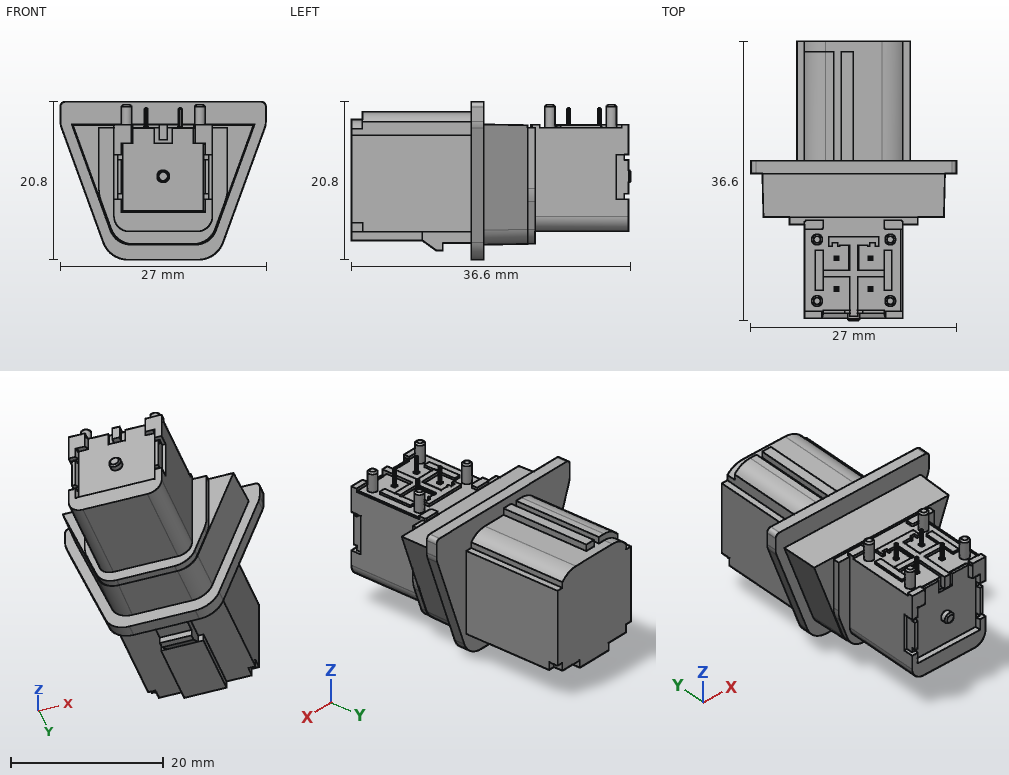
import math

import cadquery as cq


LENGTH = 36.65
SIDE_TANGENT = math.tan(math.radians(70))

FLANGE_WIDTH = 27.0
FLANGE_HEIGHT = 20.75
FLANGE_THICK = 1.7
FLANGE_SHOULDER = 17.75
FLANGE_TOP_RADIUS = 0.65
FLANGE_SHOULDER_RADIUS = 2.55
FLANGE_BOTTOM_RADIUS = 3.52

SHROUD_LENGTH = 5.72
SHROUD_TOP = 17.78
SHROUD_BOTTOM = 1.98
SHROUD_HALF_WIDTH = 12.0
SHROUD_RADIUS = 2.97
SHROUD_TAPER = 1.0

COLLAR_LENGTH = 1.0
COLLAR_HALF_WIDTH = 8.45
COLLAR_BOTTOM = 2.1
COLLAR_INSET = 0.2
COLLAR_SHOULDER_RADIUS = 5.15

DECK = 17.35
RAISED = 17.75
BLOCK_HALF_WIDTH = 6.45
BLOCK_BOTTOM = 3.75
BLOCK_RADIUS = 1.98
BLOCK_FRONT = 19.0

RECESS_DEPTH = 0.65
RECESS_TAPER = 18.0
RECESS_HALF_WIDTH = 5.5
RECESS_NECK_HALF_WIDTH = 4.18
RECESS_SHOULDER = 15.32
RECESS_BOTTOM = 6.25
NOTCH_HALF_WIDTH = 1.17
NOTCH_DEPTH = 0.4

LATCH_BOTTOM = 7.95
LATCH_TOP = 13.82
LATCH_LENGTH = 1.6
LATCH_SKIN = 0.48
LATCH_GAP_HEIGHT = 0.7
LATCH_GAP_DEPTH = 0.6

PAD_START = 6.15
PAD_LENGTH = 1.17
PAD_INNER = 4.0
PAD_CHAMFER = 0.2
PAD_RADIUS = 0.3
DECK_STEP = 0.09
EDGE_STRIP_WIDTH = 0.25
EAR_LENGTH = 0.9
BAR_WIDTH = 1.03
BAR_START = 10.05
BAR_END = 15.32
BAR_TOP = 17.67
CROSS_START = 12.7
CROSS_END = 13.55
RIB_HALF_WIDTH = 0.5
RIB_FRONT = 18.7
RIB_TAB_BOTTOM = 15.75
RIB_LEDGE_WIDTH = 0.15
RIB_LEDGE_TOP = 17.55
CROWN_HALF_WIDTH = 3.25
CROWN_START = 8.3
CROWN_END = 9.55
CROWN_STEP = 0.2
CROWN_STEP_X = 1.85
CROWN_NOTCH_X = 2.45
CROWN_NOTCH_WIDTH = 0.75
CROWN_NOTCH_DEPTH = 0.5

POST_DIAMETER = 1.4
POST_X = 4.8
POST_Y = (8.65, 16.7)
POST_TOP = 20.35
POST_CHAMFER = 0.25
CONTACT_WIDTH = 0.48
CONTACT_CORNER = 0.13
CONTACT_X = 2.25
CONTACT_Y = (11.1, 15.15)
CONTACT_TOP = 19.95
CONTACT_TIP_CHAMFER = 0.2
CONTACT_FOOT_WIDTH = 0.6
CONTACT_FOOT_HEIGHT = 0.15
STUD_DIAMETER = 1.6
STUD_Z = 10.95
STUD_CHAMFER = 0.22
STUD_TIP = 19.3

PLUG_END = LENGTH - STUD_TIP
PLUG_HALF_WIDTH = 7.45
PLUG_BOTTOM = 3.65
PLUG_LEDGE = 16.35
UPPER_HALF_WIDTH = 6.45
UPPER_TOP = 18.45
UPPER_EDGE = 17.23
UPPER_FLAT_HALF_WIDTH = 3.7
RIDGE_TOP = 19.43
RIDGE_EDGE = 18.1
RIDGE_INNER = -2.6
KEY_RIB_X = (-1.6, -0.07)
RIDGE_SETBACK = 1.43
CORNER_NOTCH = (1.0, 1.45, 1.2)

KEY_WIDTH = 5.85
HOOK_WIDTH = 4.4
KEY_BOTTOM = 2.53
KEY_ROOT_BOTTOM = 2.2
HOOK_BOTTOM = 1.2
HOOK_FRONT_Y = 5.4
HOOK_TIP_Y = 6.25
HOOK_REAR_Y = 8.05


def box(x_range, y_range, z_range):
    """Box between two corners, given as the limits along each axis."""
    spans = (x_range, y_range, z_range)
    sizes = [high - low for low, high in spans]
    corner = tuple(low for low, high in spans)
    return cq.Workplane("XY").box(*sizes, centered=False).translate(corner)


def front_box(x_range, start, end, z_range):
    """Box on the board end, with start and end as distances from the flange face."""
    return box(x_range, (-end, -start), z_range)


def both_sides(solid):
    """A solid together with its mirror image across X = 0."""
    return solid.union(solid.mirror("YZ"))


def symmetric_outline(half_points, plane_y):
    """Closed XZ outline from its +X points, ordered from top to bottom."""
    mirrored_points = [(-x, z) for x, z in reversed(half_points)]
    plane = cq.Workplane("XZ", origin=(0, plane_y, 0))
    return plane.polyline(half_points + mirrored_points).close()


def sloped_in(half_width, drop):
    """Half width left after going down the sloped side by the given drop."""
    return half_width - drop / SIDE_TANGENT


def level(z, tolerance=0.3):
    """Selector for edges whose middle is close to height z."""
    low_corner = (-LENGTH, -LENGTH, z - tolerance)
    high_corner = (LENGTH, LENGTH, z + tolerance)
    return cq.selectors.BoxSelector(low_corner, high_corner)


def make_flange():
    half = FLANGE_WIDTH / 2
    points = [
        (half, FLANGE_HEIGHT),
        (half, FLANGE_SHOULDER),
        (sloped_in(half, FLANGE_SHOULDER), 0),
    ]
    flange = symmetric_outline(points, FLANGE_THICK).extrude(FLANGE_THICK)
    flange = flange.edges("|Y").edges(level(FLANGE_HEIGHT)).fillet(FLANGE_TOP_RADIUS)
    flange = flange.edges("|Y").edges(level(FLANGE_SHOULDER)).fillet(FLANGE_SHOULDER_RADIUS)
    return flange.edges("|Y").edges(level(0)).fillet(FLANGE_BOTTOM_RADIUS)


def make_shroud():
    points = [
        (SHROUD_HALF_WIDTH, SHROUD_TOP),
        (sloped_in(SHROUD_HALF_WIDTH, SHROUD_TOP - SHROUD_BOTTOM), SHROUD_BOTTOM),
    ]
    shroud = symmetric_outline(points, 0).extrude(SHROUD_LENGTH, taper=SHROUD_TAPER)
    lower_edges = shroud.edges("not(#Y)").edges("not(|X)").edges(level(SHROUD_BOTTOM))
    return lower_edges.fillet(SHROUD_RADIUS)


def make_collar():
    side_width = SHROUD_HALF_WIDTH - COLLAR_INSET
    shoulder = SHROUD_TOP - (side_width - COLLAR_HALF_WIDTH) * SIDE_TANGENT
    points = [
        (COLLAR_HALF_WIDTH, DECK),
        (COLLAR_HALF_WIDTH, shoulder),
        (sloped_in(side_width, SHROUD_TOP - COLLAR_BOTTOM), COLLAR_BOTTOM),
    ]
    collar = symmetric_outline(points, -SHROUD_LENGTH).extrude(COLLAR_LENGTH)
    collar = collar.edges("|Y").edges(level(shoulder)).fillet(COLLAR_SHOULDER_RADIUS)
    return collar.edges("|Y").edges(level(COLLAR_BOTTOM)).fillet(SHROUD_RADIUS)


def make_block():
    width = (-BLOCK_HALF_WIDTH, BLOCK_HALF_WIDTH)
    block = front_box(width, SHROUD_LENGTH, BLOCK_FRONT, (BLOCK_BOTTOM, DECK))
    block = block.edges("|Y and <Z").fillet(BLOCK_RADIUS)
    ear = front_box(
        (RECESS_NECK_HALF_WIDTH, BLOCK_HALF_WIDTH), BLOCK_FRONT - EAR_LENGTH, BLOCK_FRONT, (DECK, RAISED)
    )
    return block.union(both_sides(ear))


def make_front_recess():
    above = RAISED + RECESS_DEPTH
    points = [
        (RECESS_NECK_HALF_WIDTH, above),
        (RECESS_NECK_HALF_WIDTH, RECESS_SHOULDER),
        (RECESS_HALF_WIDTH, RECESS_SHOULDER),
        (RECESS_HALF_WIDTH, RECESS_BOTTOM),
    ]
    recess = symmetric_outline(points, -BLOCK_FRONT).extrude(-RECESS_DEPTH, taper=RECESS_TAPER)
    floor = BLOCK_FRONT - RECESS_DEPTH
    inner_half = RECESS_HALF_WIDTH - RECESS_DEPTH * math.tan(math.radians(RECESS_TAPER))
    level_shoulder = front_box((-inner_half, inner_half), floor, BLOCK_FRONT, (STUD_Z, RECESS_SHOULDER))
    notch_width = (-NOTCH_HALF_WIDTH, NOTCH_HALF_WIDTH)
    notch = front_box(notch_width, floor - NOTCH_DEPTH, floor, (RECESS_SHOULDER, RAISED))
    return recess.union(level_shoulder).union(notch)


def make_deck_strips():
    """Shallow steps along the front edge and the +X edge of the deck."""
    height = (DECK - DECK_STEP, DECK)
    recess_floor = BLOCK_FRONT - RECESS_DEPTH
    front = front_box((-PAD_INNER, PAD_INNER), recess_floor - NOTCH_DEPTH, recess_floor, height)
    edge_width = (BLOCK_HALF_WIDTH - EDGE_STRIP_WIDTH, BLOCK_HALF_WIDTH)
    edge = front_box(edge_width, PAD_START + PAD_LENGTH, BLOCK_FRONT - EAR_LENGTH, height)
    return front.union(edge)


def make_latch_cuts():
    outer = BLOCK_HALF_WIDTH
    skin = front_box(
        (outer - LATCH_SKIN, outer), BLOCK_FRONT - LATCH_LENGTH, BLOCK_FRONT, (LATCH_BOTTOM, LATCH_TOP)
    )
    cuts = skin
    for bottom in (LATCH_BOTTOM, LATCH_TOP - LATCH_GAP_HEIGHT):
        cuts = cuts.union(
            front_box(
                (RECESS_HALF_WIDTH - LATCH_SKIN, outer),
                BLOCK_FRONT - LATCH_GAP_DEPTH,
                BLOCK_FRONT,
                (bottom, bottom + LATCH_GAP_HEIGHT),
            )
        )
    return both_sides(cuts)


def make_deck_details():
    height = (DECK, RAISED)
    pad = front_box((PAD_INNER, BLOCK_HALF_WIDTH), PAD_START, PAD_START + PAD_LENGTH, height)
    pad = pad.edges("|Z and >X and >Y").chamfer(PAD_CHAMFER)
    pad = pad.edges("|Z and <X and <Y").fillet(PAD_RADIUS)
    bar = front_box((PAD_INNER, PAD_INNER + BAR_WIDTH), BAR_START, BAR_END, (DECK, BAR_TOP))
    cross = front_box((0, PAD_INNER), CROSS_START, CROSS_END, height)

    crown = front_box((0, CROWN_HALF_WIDTH), CROWN_START, CROWN_END, height)
    crown_step = front_box((0, CROWN_STEP_X), CROWN_END - CROWN_STEP, CROWN_END, height)
    notch_x = (CROWN_NOTCH_X - CROWN_NOTCH_WIDTH / 2, CROWN_NOTCH_X + CROWN_NOTCH_WIDTH / 2)
    crown_notch = front_box(notch_x, CROWN_END - CROWN_NOTCH_DEPTH, CROWN_END, height)
    crown = crown.cut(crown_step).cut(crown_notch)

    ledge_width = (0, RIB_HALF_WIDTH + RIB_LEDGE_WIDTH)
    rib_ledge = front_box(ledge_width, CROWN_END, CROSS_START, (DECK, RIB_LEDGE_TOP))

    details = both_sides(pad.union(bar).union(cross).union(crown).union(rib_ledge))
    rib_width = (-RIB_HALF_WIDTH, RIB_HALF_WIDTH)
    rib = front_box(rib_width, CROWN_START, RIB_FRONT, height)
    tab_root = BLOCK_FRONT - RECESS_DEPTH - NOTCH_DEPTH
    tab = front_box(rib_width, tab_root, RIB_FRONT, (RIB_TAB_BOTTOM, RAISED))
    return details.union(rib).union(tab)


def four_places(x, distances):
    """Four points on the deck, mirrored across X = 0."""
    return [(side * x, -distance) for side in (-1, 1) for distance in distances]


def make_posts():
    posts = cq.Workplane("XY", origin=(0, 0, RECESS_SHOULDER)).pushPoints(four_places(POST_X, POST_Y))
    posts = posts.circle(POST_DIAMETER / 2).extrude(POST_TOP - RECESS_SHOULDER)
    return posts.faces(">Z").edges().chamfer(POST_CHAMFER)


def make_contacts():
    places = cq.Workplane("XY", origin=(0, 0, DECK)).pushPoints(four_places(CONTACT_X, CONTACT_Y))
    contacts = places.rect(CONTACT_WIDTH, CONTACT_WIDTH).extrude(CONTACT_TOP - DECK)
    contacts = contacts.edges("|Z").chamfer(CONTACT_CORNER)
    contacts = contacts.faces(">Z").edges().chamfer(CONTACT_TIP_CHAMFER)
    feet = places.rect(CONTACT_FOOT_WIDTH, CONTACT_FOOT_WIDTH).extrude(CONTACT_FOOT_HEIGHT)
    return contacts.union(feet)


def make_stud():
    root = BLOCK_FRONT - RECESS_DEPTH - NOTCH_DEPTH
    stud = cq.Workplane("XZ", origin=(0, -root, STUD_Z)).circle(STUD_DIAMETER / 2)
    return stud.extrude(STUD_TIP - root).faces("<Y").edges().chamfer(STUD_CHAMFER)


def tangent_arc_middle(edge, flat):
    """Middle of the arc that leaves the flat top tangentially and ends at the edge."""
    run = edge[0] - flat[0]
    drop = flat[1] - edge[1]
    radius = (run ** 2 + drop ** 2) / (2 * drop)
    half_angle = math.asin(abs(run) / radius) / 2
    return (
        flat[0] + math.copysign(radius * math.sin(half_angle), run),
        flat[1] - radius * (1 - math.cos(half_angle)),
    )


def make_plug():
    lower = box((-PLUG_HALF_WIDTH, PLUG_HALF_WIDTH), (0, PLUG_END), (PLUG_BOTTOM, PLUG_LEDGE))
    notch_x, notch_y, notch_z = CORNER_NOTCH
    notch = box(
        (PLUG_HALF_WIDTH - notch_x, PLUG_HALF_WIDTH),
        (PLUG_END - notch_y, PLUG_END),
        (PLUG_BOTTOM, PLUG_BOTTOM + notch_z),
    )
    lower = lower.cut(both_sides(notch))

    left_edge = (-UPPER_HALF_WIDTH, UPPER_EDGE)
    left_flat = (-UPPER_FLAT_HALF_WIDTH, UPPER_TOP)
    right_edge = (UPPER_HALF_WIDTH, UPPER_EDGE)
    right_flat = (UPPER_FLAT_HALF_WIDTH, UPPER_TOP)
    upper = (
        cq.Workplane("XZ")
        .moveTo(-UPPER_HALF_WIDTH, PLUG_BOTTOM)
        .lineTo(*left_edge)
        .threePointArc(tangent_arc_middle(left_edge, left_flat), left_flat)
        .lineTo(*right_flat)
        .threePointArc(tangent_arc_middle(right_edge, right_flat), right_edge)
        .lineTo(UPPER_HALF_WIDTH, PLUG_BOTTOM)
        .close()
        .extrude(-PLUG_END)
    )
    return lower.union(upper)


def make_plug_ridges():
    ridge_end = PLUG_END - RIDGE_SETBACK
    edge = (-UPPER_HALF_WIDTH, RIDGE_EDGE)
    flat = (-UPPER_FLAT_HALF_WIDTH, RIDGE_TOP)
    rounded = (
        cq.Workplane("XZ")
        .moveTo(-UPPER_HALF_WIDTH, PLUG_LEDGE)
        .lineTo(*edge)
        .threePointArc(tangent_arc_middle(edge, flat), flat)
        .lineTo(RIDGE_INNER, RIDGE_TOP)
        .lineTo(RIDGE_INNER, PLUG_LEDGE)
        .close()
        .extrude(-ridge_end)
    )
    return rounded.union(box(KEY_RIB_X, (0, ridge_end), (PLUG_LEDGE, RIDGE_TOP)))


def make_latch_key():
    half = KEY_WIDTH / 2
    key = box((-half, half), (HOOK_REAR_Y, PLUG_END), (KEY_BOTTOM, PLUG_BOTTOM))
    hook_points = [
        (0, PLUG_BOTTOM),
        (0, KEY_ROOT_BOTTOM),
        (HOOK_FRONT_Y, KEY_ROOT_BOTTOM),
        (HOOK_FRONT_Y, HOOK_BOTTOM),
        (HOOK_TIP_Y, HOOK_BOTTOM),
        (HOOK_REAR_Y, KEY_BOTTOM),
        (HOOK_REAR_Y, PLUG_BOTTOM),
    ]
    hook = cq.Workplane("YZ").polyline(hook_points).close().extrude(HOOK_WIDTH / 2, both=True)
    return key.union(hook)


block = make_block().cut(make_front_recess()).cut(make_deck_strips()).cut(make_latch_cuts())
result = make_flange().union(make_shroud()).union(make_collar()).union(block)
result = result.union(make_deck_details()).union(make_posts()).union(make_contacts()).union(make_stud())
result = result.union(make_plug()).union(make_plug_ridges()).union(make_latch_key())